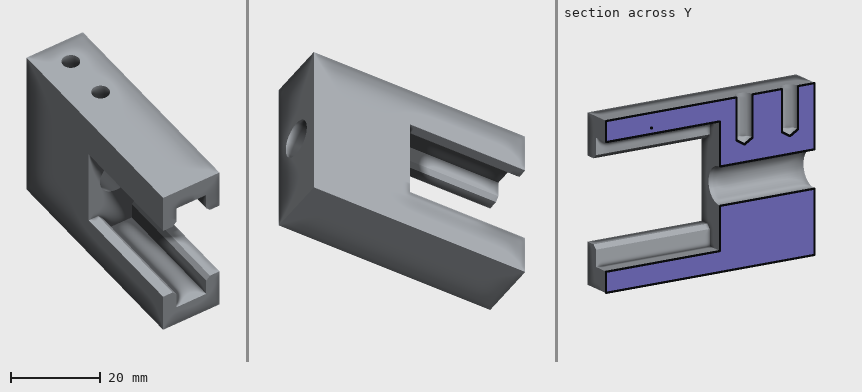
import cadquery as cq
import math

length = 55.0
width = 15.0
height = 40.0

slot_start = 25.0
arm_height = 10.0
slot_length = length - slot_start

groove_width = 8.0
groove_depth = 5.0
groove_chamfer = 1.0

bore_diameter = 9.0

drill_diameter = 4.2
drill_depth = 10.0
drill_point_angle = 118.0
first_drill_x = 6.5
drill_spacing = 12.0
drill_count = 2

mid_y = width / 2
mid_z = height / 2


def make_block():
    block = cq.Workplane("XY").box(length, width, height, centered=False)
    slot = (
        cq.Workplane("XY")
        .box(slot_length, width, height - 2 * arm_height, centered=False)
        .translate((slot_start, 0, arm_height))
    )
    return block.cut(slot)


def make_lower_groove():
    half_width = groove_width / 2
    half_mouth = half_width + groove_chamfer
    floor_z = arm_height - groove_depth
    chamfer_z = arm_height - groove_chamfer
    profile = [
        (mid_y - half_width, floor_z),
        (mid_y + half_width, floor_z),
        (mid_y + half_width, chamfer_z),
        (mid_y + half_mouth, arm_height),
        (mid_y - half_mouth, arm_height),
        (mid_y - half_width, chamfer_z),
    ]
    return (
        cq.Workplane("YZ", origin=(slot_start, 0, 0))
        .polyline(profile)
        .close()
        .extrude(slot_length)
    )


def make_bore():
    return (
        cq.Workplane("YZ", origin=(0, mid_y, mid_z))
        .circle(bore_diameter / 2)
        .extrude(slot_start)
    )


def make_drill(x):
    """Drilled hole with a conical bottom, revolved about its vertical axis."""
    radius = drill_diameter / 2
    tip_length = radius / math.tan(math.radians(drill_point_angle / 2))
    return (
        cq.Workplane("XZ", origin=(x, mid_y, height))
        .polyline([(0, 0), (radius, 0), (radius, -drill_depth), (0, -drill_depth - tip_length)])
        .close()
        .revolve(360, (0, 0, 0), (0, 1, 0))
    )


lower_groove = make_lower_groove()
upper_groove = lower_groove.mirror("XY", (0, 0, mid_z))

result = make_block().cut(lower_groove).cut(upper_groove).cut(make_bore())
for index in range(drill_count):
    result = result.cut(make_drill(first_drill_x + index * drill_spacing))